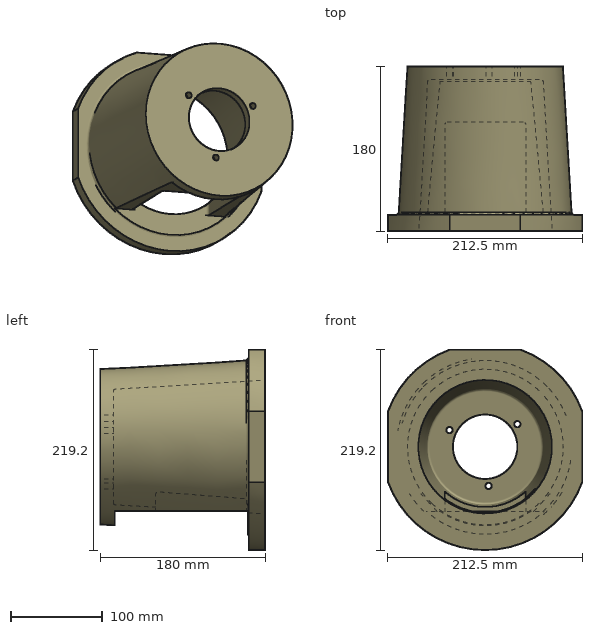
import cadquery as cq
import math

total_length = 180.0
flange_width = 212.5
flange_height = 219.2
flat_offset = flange_width / 2
flange_radius = flange_height - flat_offset
flange_thickness = 18.0

barrel_end_radius = 85.0
mouth_radius = 73.0
taper_angle = 3.4
taper = math.tan(math.radians(taper_angle))
base_fillet = 2.9
floor_thickness = 14.0
floor_fillet = 2.6

center_hole_radius = 35.0
screw_hole_radius = 3.3
screw_circle_radius = 43.0
screw_count = 3
first_screw_angle = 35

relief_height = 70.4
end_lip = 16.0
flange_gap = 0.9
window_width = 88.5
window_length = 100.9
window_corner_radius = 3.3


def cone(start_y, start_radius, end_y, end_radius):
    """Solid cone frustum about the Y axis."""
    profile = [(0, start_y), (start_radius, start_y), (end_radius, end_y), (0, end_y)]
    return cq.Workplane("XY").polyline(profile).close().revolve(360, (0, 0), (0, 1))


def cylinder(radius, length, x=0, z=0):
    """Cylinder along +Y starting at y = 0."""
    return cq.Workplane("XZ").center(x, z).circle(radius).extrude(-length)


def make_flange():
    """Round flange with flats on both sides and on top."""
    flats = cq.Workplane("XY").box(
        2 * flat_offset, flange_thickness, flat_offset + flange_radius, centered=(True, False, False)
    ).translate((0, 0, -flange_radius))
    return cylinder(flange_radius, flange_thickness).intersect(flats)


def make_barrel():
    """Tapered barrel, blended into the back of the flange."""
    base_radius = barrel_end_radius + taper * (total_length - flange_thickness)
    barrel = cone(flange_thickness, base_radius, total_length, barrel_end_radius)
    body = make_flange().union(barrel)
    base_edge = body.faces("<Y[1]").edges(cq.selectors.RadiusNthSelector(0))
    return base_edge.fillet(base_fillet)


def make_cavity():
    """Tapered cavity with a rounded edge around its floor."""
    depth = total_length - floor_thickness
    cavity = cone(0, mouth_radius, depth, mouth_radius - taper * depth)
    return cavity.faces(">Y").edges().fillet(floor_fillet)


def make_relief():
    """Flat cut across the barrel underside, between the flange and the end lip."""
    start_y = flange_thickness + flange_gap
    length = total_length - end_lip - start_y
    return cq.Workplane("XY").box(
        2 * flange_radius, length, flange_radius, centered=(True, False, False)
    ).translate((0, start_y, -relief_height - flange_radius))


def make_window():
    """Round-cornered opening from the cavity down through the relief flat."""
    start_y = flange_thickness + flange_gap
    window = cq.Workplane("XY").box(
        window_width, window_length, flange_radius, centered=(True, False, False)
    ).translate((0, start_y, -flange_radius))
    return window.edges("|Z").fillet(window_corner_radius)


result = make_barrel().cut(make_cavity()).cut(make_relief()).cut(make_window())
result = result.cut(cylinder(center_hole_radius, total_length))
for index in range(screw_count):
    angle = math.radians(first_screw_angle + index * 360 / screw_count)
    screw_x = screw_circle_radius * math.cos(angle)
    screw_z = screw_circle_radius * math.sin(angle)
    result = result.cut(cylinder(screw_hole_radius, total_length, screw_x, screw_z))